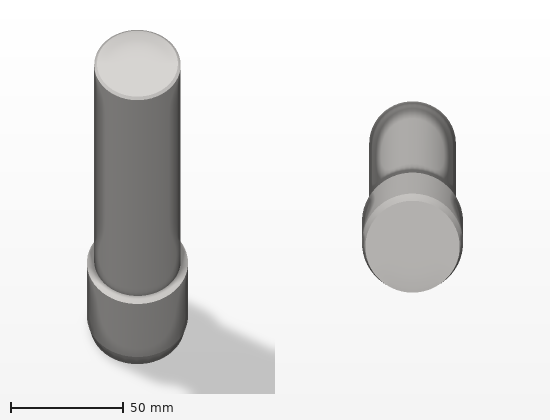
import cadquery as cq

pin_length = 200.0
pin_radius = 38.5 / 2
pin_lead_height = 1.0
pin_lead_inset = 1.25

sleeve_length = 49.6
sleeve_radius = 45.0 / 2
sleeve_taper_height = 7.5
sleeve_taper_inset = 1.5
sleeve_top_cone_height = 1.6


def make_pin():
    """Solid bar standing on Z = 0, coned at the top."""
    bar = cq.Workplane("XY").circle(pin_radius).extrude(pin_length)
    return bar.faces(">Z").chamfer(pin_lead_height, pin_lead_inset)


def make_sleeve():
    """Ring with a tapered lower end and a top face that slopes down from the bore."""
    profile = [
        (pin_radius, 0),
        (sleeve_radius - sleeve_taper_inset, 0),
        (sleeve_radius, sleeve_taper_height),
        (sleeve_radius, sleeve_length - sleeve_top_cone_height),
        (pin_radius, sleeve_length),
    ]
    return cq.Workplane("XZ").polyline(profile).close().revolve(360, (0, 0), (0, 1))


pin = make_pin()
sleeve = make_sleeve()

result = cq.Compound.makeCompound([pin.val(), sleeve.val()])